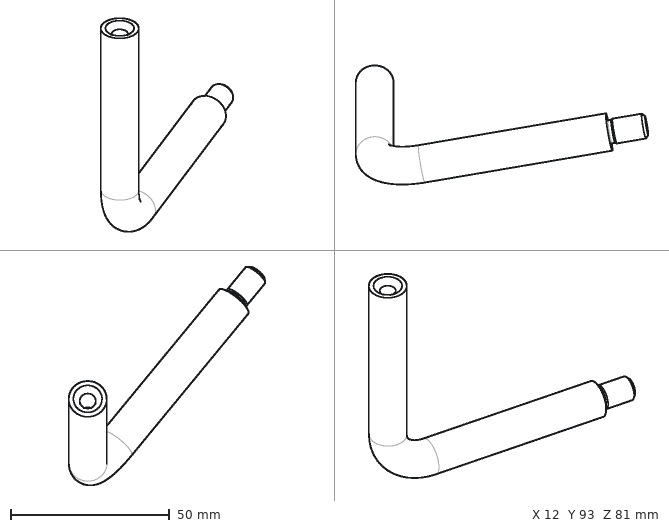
import cadquery as cq
import math

overall_length = 93.0
overall_height = 81.0
rod_diameter = 12.0
rod_radius = rod_diameter / 2
bend_radius = 15.0

stud_length = 12.0
stud_radius = 8.0 / 2
stud_chamfer = 0.9
neck_length = 1.8
neck_depth = 0.3
neck_taper_angle = 30.0
neck_taper_length = neck_depth / math.tan(math.radians(neck_taper_angle))
neck_fillet = 0.23

hole_radius = 5.0 / 2
countersink_radius = 9.0 / 2
countersink_depth = countersink_radius - hole_radius
hole_depth = 15.0
drill_point_half_angle = 60.0
drill_point_depth = hole_radius / math.tan(math.radians(drill_point_half_angle))

top_z = overall_height - rod_radius
stud_tip_y = overall_length - rod_radius
shoulder_y = stud_tip_y - stud_length


def make_rod():
    """Sweep the round section down the vertical arm, round the bend and along the horizontal arm."""
    bend_middle = bend_radius * (1 - math.sqrt(0.5))
    path = (
        cq.Workplane("YZ")
        .moveTo(0, top_z)
        .lineTo(0, bend_radius)
        .threePointArc((bend_middle, bend_middle), (bend_radius, 0))
        .lineTo(shoulder_y, 0)
    )
    return cq.Workplane("XY", origin=(0, 0, top_z)).circle(rod_radius).sweep(path)


def make_stud():
    """Revolve the stud, with its relief neck and chamfered tip, about the Y axis."""
    neck_radius = stud_radius - neck_depth
    neck_end_y = shoulder_y + neck_length
    fillet_middle = neck_fillet * (1 - math.sqrt(0.5))
    return (
        cq.Workplane("XY")
        .moveTo(0, shoulder_y)
        .lineTo(neck_radius + neck_fillet, shoulder_y)
        .threePointArc(
            (neck_radius + fillet_middle, shoulder_y + fillet_middle),
            (neck_radius, shoulder_y + neck_fillet),
        )
        .lineTo(neck_radius, neck_end_y - neck_taper_length)
        .lineTo(stud_radius, neck_end_y)
        .lineTo(stud_radius, stud_tip_y - stud_chamfer)
        .lineTo(stud_radius - stud_chamfer, stud_tip_y)
        .lineTo(0, stud_tip_y)
        .close()
        .revolve(360, (0, 0, 0), (0, 1, 0))
    )


def make_hole():
    """Revolve the countersunk hole, with its conical drill point, about the Z axis."""
    hole_bottom_z = top_z - hole_depth
    return (
        cq.Workplane("XZ")
        .moveTo(0, top_z)
        .lineTo(countersink_radius, top_z)
        .lineTo(hole_radius, top_z - countersink_depth)
        .lineTo(hole_radius, hole_bottom_z)
        .lineTo(0, hole_bottom_z - drill_point_depth)
        .close()
        .revolve(360, (0, 0, 0), (0, 1, 0))
    )


result = make_rod().union(make_stud()).cut(make_hole())